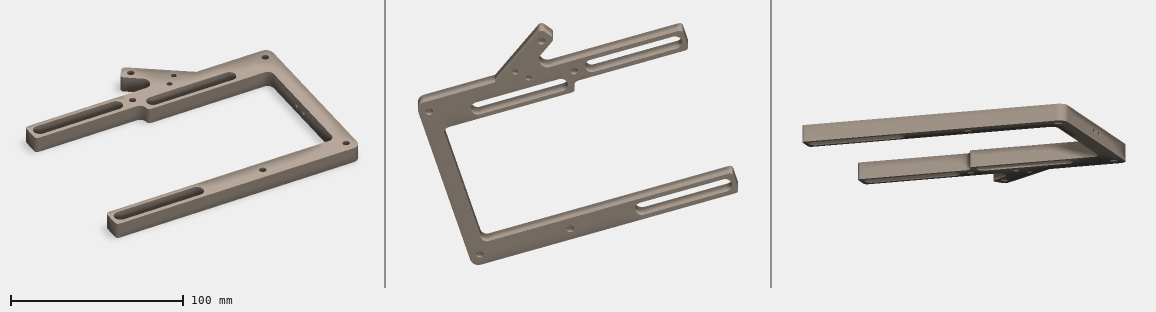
import cadquery as cq
import math

frame_width = 110.1
frame_length = 161.5
thickness = 10.0
top_bar_depth = 10.0
arm_width = 13.2
wide_arm_width = 19.5
ledge_y = 70.7

outer_corner_radius = 5.0
inner_corner_radius = 4.0
tip_radius = 2.0

tab_angle = 55.0
tab_hole_x = -17.5
tab_hole_y = 79.6
tab_half_width = 5.0
tab_end_margin = 5.8
tab_corner_radius = 2.5
tab_root_radius = 5.0

slot_width = 8.0
slot_length = 58.5
lower_slot_y = 31.5
upper_slot_x = 13.1
upper_slot_y = 102.7

mount_hole_diameter = 4.4
small_hole_diameter = 3.4
bar_hole_diameter = 2.9
top_hole_margin = 6.3
middle_hole_y = 100.1
left_hole_y = 67.5
small_hole_points = [(-3.0, middle_hole_y), (2.9, 94.0)]
bar_hole_xs = [51.0, 59.1]

left_arm_x = arm_width / 2
right_arm_x = frame_width - arm_width / 2
right_arm_inner_x = frame_width - arm_width
opening_top_y = frame_length - top_bar_depth
top_hole_y = frame_length - top_hole_margin
tab_cos = math.cos(math.radians(tab_angle))
tab_sin = math.sin(math.radians(tab_angle))


def tab_point(along, across):
    """Point measured from the tab hole, along the tab and to the left of its axis."""
    return (
        tab_hole_x + along * tab_cos - across * tab_sin,
        tab_hole_y + along * tab_sin + across * tab_cos,
    )


def tab_root(across):
    """Point where a long side of the tab meets the left side of the frame."""
    along = (across * tab_sin - tab_hole_x) / tab_cos
    return tab_point(along, across)


def make_plate():
    """Frame and tab in one outline, with all vertical corners rounded."""
    lower_root = tab_root(-tab_half_width)
    tab_corners = [
        tab_point(-tab_end_margin, -tab_half_width),
        tab_point(-tab_end_margin, tab_half_width),
    ]
    outer_corners = [(0, frame_length), (frame_width, frame_length)]
    tip_corners = [
        (frame_width, 0),
        (right_arm_inner_x, 0),
    ]
    opening_corners = [
        (right_arm_inner_x, opening_top_y),
        (wide_arm_width, opening_top_y),
    ]
    ledge_outer = (wide_arm_width, ledge_y)
    ledge_inner = (arm_width, ledge_y)
    left_tip_corners = [(arm_width, 0), (0, 0)]

    outline = [lower_root, *tab_corners, tab_root(tab_half_width), *outer_corners, *tip_corners]
    outline += [*opening_corners, ledge_outer, ledge_inner, *left_tip_corners]
    plate = cq.Workplane("XY").polyline(outline).close().extrude(thickness)

    roundings = [
        (outer_corner_radius, outer_corners),
        (inner_corner_radius, [*opening_corners, ledge_inner]),
        (tip_radius, [*tip_corners, *left_tip_corners, ledge_outer]),
        (tab_corner_radius, tab_corners),
        (tab_root_radius, [lower_root]),
    ]
    for radius, corners in roundings:
        for x, y in corners:
            corner_edge = cq.selectors.NearestToPointSelector((x, y, thickness / 2))
            plate = plate.edges("|Z").edges(corner_edge).fillet(radius)
    return plate


def make_slots():
    centers = [
        (left_arm_x, lower_slot_y),
        (right_arm_x, lower_slot_y),
        (upper_slot_x, upper_slot_y),
    ]
    return cq.Workplane("XY").pushPoints(centers).slot2D(slot_length, slot_width, 90).extrude(thickness)


def make_vertical_holes(points, diameter):
    return cq.Workplane("XY").pushPoints(points).circle(diameter / 2).extrude(thickness)


def make_bar_holes():
    """Holes running along Y through the top bar at mid thickness."""
    points = [(x, thickness / 2) for x in bar_hole_xs]
    bar_front = cq.Workplane("XZ", origin=(0, opening_top_y, 0))
    return bar_front.pushPoints(points).circle(bar_hole_diameter / 2).extrude(-top_bar_depth)


mount_hole_points = [
    (left_arm_x, top_hole_y),
    (right_arm_x, top_hole_y),
    (right_arm_x, middle_hole_y),
    (left_arm_x, left_hole_y),
    (tab_hole_x, tab_hole_y),
]

result = (
    make_plate()
    .cut(make_slots())
    .cut(make_vertical_holes(mount_hole_points, mount_hole_diameter))
    .cut(make_vertical_holes(small_hole_points, small_hole_diameter))
    .cut(make_bar_holes())
)